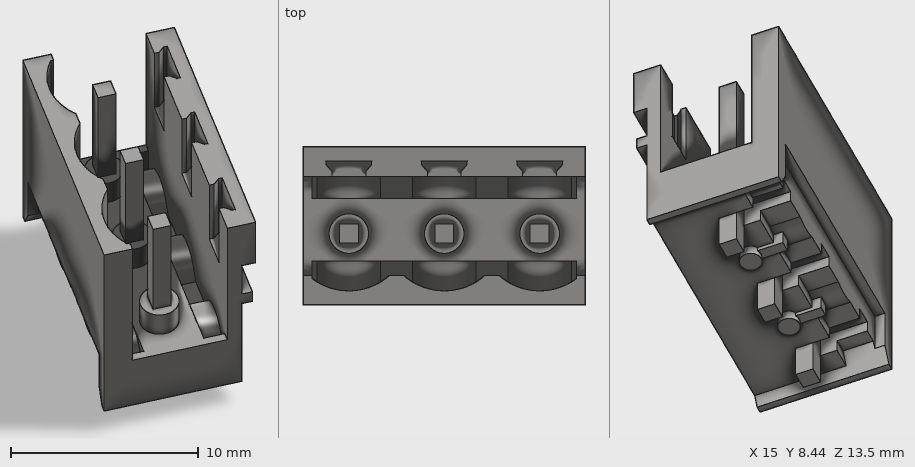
import cadquery as cq


LENGTH = 15.04
HEIGHT = 12.0
FRONT_WALL = 1.58
CAVITY_DEPTH = 5.28
REAR_WALL = 0.81
REAR_BLOCK = 0.77
FLOOR_Z = 3.45
REAR_BLOCK_BOTTOM = 8.89
RAIL_DEPTH = 0.59
RAIL_BOTTOM = 5.97
RAIL_HEIGHT = 0.74

CAVITY_FRONT = FRONT_WALL
CAVITY_REAR = CAVITY_FRONT + CAVITY_DEPTH
REAR_FACE = CAVITY_REAR + REAR_WALL

PITCH = 5.08
PIN_Y = 3.8
PIN_WIDTH = 1.01
PIN_BOTTOM = -1.5
PIN_TOP = 11.05
BOSS_RADIUS = 1.05
BOSS_TOP = 4.92
PIN_XS = [-PITCH, 0.0, PITCH]
GAP_XS = [-PITCH / 2, PITCH / 2]

SLOT_BOTTOM = 7.85
SLOT_BACK_WIDTH = 2.44
SLOT_NECK_WIDTH = 1.8
SLOT_BACK_STRAIGHT = 0.2
SLOT_NECK_STRAIGHT = 0.27

TROUGH_LENGTH = 14.1
TROUGH_BOTTOM = 2.08
FRONT_TROUGH_EDGE = 2.35
REAR_TROUGH_EDGE = 5.69
HILL_TOP = 3.43
HILL_SHOULDER_Z = 2.75
HILL_SHOULDER_WIDTH = 2.53
HILL_FOOT_WIDTH = 3.37

SCALLOP_WIDTH = 4.33
SCALLOP_DEPTH = 0.83

FOOT_WIDTH = 0.39
OPENING_SLOPE_RUN = 0.75
PANEL_BOTTOM = 1.34
BASE_BOTTOM = 0.59
PANEL_INSET = 0.93
PANEL_TOP = 3.52
PANEL_RECESS = 0.59
BULGE_WIDTH = 1.6
BULGE_DEPTH = 0.17
CHANNEL_TOP = 2.08
STEP_Y = FRONT_TROUGH_EDGE
PEG_RADIUS = 0.6
RIB_FRONT = 1.8
RIB_WIDTH = 0.6
RIB_BOTTOM = 0.33


def box(x_min, x_max, y_min, y_max, z_min, z_max):
    """Axis-aligned block between the given limits."""
    return cq.Workplane("XY").box(
        x_max - x_min, y_max - y_min, z_max - z_min, centered=False
    ).translate((x_min, y_min, z_min))


def centred_bar(x, width, y_min, y_max, z_min, z_max):
    """Block centred on x."""
    return box(x - width / 2, x + width / 2, y_min, y_max, z_min, z_max)


def extrude_in_y(profile, y_min, y_max):
    """Extrude a closed XZ profile from y_min to y_max."""
    return profile.extrude(y_min - y_max).translate((0, y_min, 0))


def side_profile_body():
    """U-shaped trough with the thick rear top edge and the rear rail."""
    body = centred_bar(0, LENGTH, 0, REAR_FACE, 0, HEIGHT)
    cavity = centred_bar(0, LENGTH, CAVITY_FRONT, CAVITY_REAR, FLOOR_Z, HEIGHT)
    block = centred_bar(0, LENGTH, REAR_FACE, REAR_FACE + REAR_BLOCK, REAR_BLOCK_BOTTOM, HEIGHT)
    rail = centred_bar(
        0, LENGTH, REAR_FACE, REAR_FACE + RAIL_DEPTH, RAIL_BOTTOM, RAIL_BOTTOM + RAIL_HEIGHT
    )
    return body.cut(cavity).union(block).union(rail)


def dovetail_slot(x):
    """Vertical slot that widens toward the outside of the rear wall."""
    neck = SLOT_NECK_WIDTH / 2
    back = SLOT_BACK_WIDTH / 2
    neck_end = CAVITY_REAR + SLOT_NECK_STRAIGHT
    back_start = REAR_FACE - SLOT_BACK_STRAIGHT
    return (
        cq.Workplane("XY", origin=(x, 0, SLOT_BOTTOM))
        .moveTo(-neck, CAVITY_REAR)
        .lineTo(-neck, neck_end)
        .lineTo(-back, back_start)
        .lineTo(-back, REAR_FACE)
        .lineTo(back, REAR_FACE)
        .lineTo(back, back_start)
        .lineTo(neck, neck_end)
        .lineTo(neck, CAVITY_REAR)
        .close()
        .extrude(HEIGHT - SLOT_BOTTOM)
    )


def scallop(x):
    """Shallow arc cut into the inner face of the front wall, open down to the trough."""
    half = SCALLOP_WIDTH / 2
    return (
        cq.Workplane("XY", origin=(x, CAVITY_FRONT, TROUGH_BOTTOM))
        .moveTo(-half, 0)
        .threePointArc((0, -SCALLOP_DEPTH), (half, 0))
        .close()
        .extrude(HEIGHT - TROUGH_BOTTOM)
    )


def hill(x):
    """Round-topped hill with sloping flanks, running the full depth of the housing."""
    shoulder = HILL_SHOULDER_WIDTH / 2
    foot = HILL_FOOT_WIDTH / 2
    profile = (
        cq.Workplane("XZ", origin=(x, 0, 0))
        .moveTo(-foot, TROUGH_BOTTOM)
        .lineTo(-shoulder, HILL_SHOULDER_Z)
        .threePointArc((0, HILL_TOP), (shoulder, HILL_SHOULDER_Z))
        .lineTo(foot, TROUGH_BOTTOM)
        .close()
    )
    return extrude_in_y(profile, 0, REAR_FACE)


def trough_cut():
    """Material removed above the trough floors and hills, scallops included."""
    front = centred_bar(0, TROUGH_LENGTH, CAVITY_FRONT, FRONT_TROUGH_EDGE, TROUGH_BOTTOM, FLOOR_Z)
    rear = centred_bar(0, TROUGH_LENGTH, REAR_TROUGH_EDGE, CAVITY_REAR, TROUGH_BOTTOM, FLOOR_Z)
    cut = front.union(rear)
    for x in PIN_XS:
        cut = cut.union(scallop(x))
    cut = cut.intersect(centred_bar(0, TROUGH_LENGTH, 0, REAR_FACE, 0, HEIGHT))
    for x in PIN_XS:
        cut = cut.cut(hill(x))
    return cut


def underside_opening(top, y_min, y_max):
    """Trapezoidal opening between the two end feet, up to the given height."""
    bottom_half = LENGTH / 2 - FOOT_WIDTH
    top_half = bottom_half - OPENING_SLOPE_RUN * top / PANEL_BOTTOM
    profile = (
        cq.Workplane("XZ")
        .moveTo(-bottom_half, 0)
        .lineTo(-top_half, top)
        .lineTo(top_half, top)
        .lineTo(bottom_half, 0)
        .close()
    )
    return extrude_in_y(profile, y_min, y_max)


def bulge(x):
    """Rounded swelling under the raised front part of the base, between two pins."""
    half = BULGE_WIDTH / 2
    profile = (
        cq.Workplane("XZ", origin=(x, 0, 0))
        .moveTo(-half, PANEL_BOTTOM)
        .threePointArc((0, PANEL_BOTTOM - BULGE_DEPTH), (half, PANEL_BOTTOM))
        .close()
    )
    return extrude_in_y(profile, PANEL_RECESS, STEP_Y)


def peg_and_rib(x):
    """Round standoff peg under the base, with a rib running forward from it under the front edge."""
    peg = cq.Workplane("XY", origin=(x, PIN_Y, 0)).circle(PEG_RADIUS).extrude(BASE_BOTTOM)
    rib = centred_bar(x, RIB_WIDTH, RIB_FRONT, PIN_Y, RIB_BOTTOM, PANEL_BOTTOM)
    return peg.union(rib)


def boss(x):
    """Round collar around a pin, standing on the cavity floor."""
    return (
        cq.Workplane("XY", origin=(x, PIN_Y, FLOOR_Z))
        .circle(BOSS_RADIUS)
        .extrude(BOSS_TOP - FLOOR_Z)
    )


def make_pin(x):
    """Straight square pin."""
    half = PIN_WIDTH / 2
    return centred_bar(x, PIN_WIDTH, PIN_Y - half, PIN_Y + half, PIN_BOTTOM, PIN_TOP)


def make_housing():
    housing = side_profile_body().cut(trough_cut())

    housing = housing.cut(underside_opening(BASE_BOTTOM, 0, REAR_FACE))
    housing = housing.cut(underside_opening(PANEL_BOTTOM, 0, STEP_Y))
    housing = housing.cut(centred_bar(0, LENGTH - 2 * PANEL_INSET, 0, PANEL_RECESS, 0, PANEL_TOP))
    for x in GAP_XS:
        housing = housing.union(bulge(x)).union(peg_and_rib(x))

    for x in PIN_XS:
        housing = housing.cut(dovetail_slot(x)).union(boss(x))
        housing = housing.cut(centred_bar(x, PIN_WIDTH, 0, PIN_Y, 0, CHANNEL_TOP))
        housing = housing.cut(make_pin(x))
    return housing


housing = make_housing()
pins = [make_pin(x) for x in PIN_XS]

result = cq.Compound.makeCompound([housing.val(), *[pin.val() for pin in pins]])